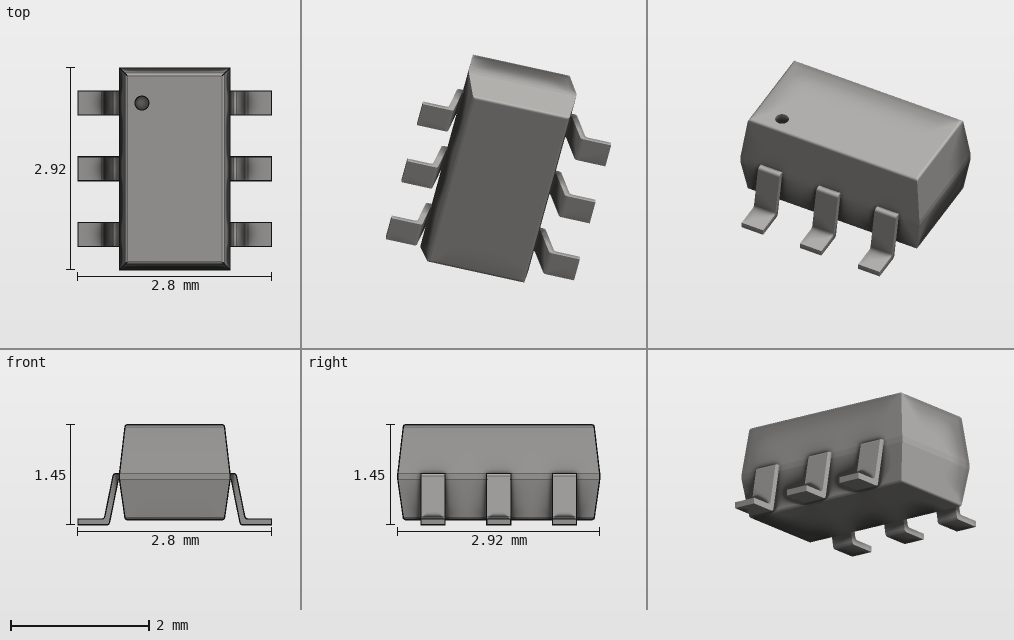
import cadquery as cq
import math

span_x = 2.8
height = 1.45
standoff = 0.075

lead_thickness = 0.088
lead_width = 0.35
lead_pitch = 0.95
leads_per_side = 3
lead_top_z = 0.742
lead_bottom_z = lead_top_z - lead_thickness
leg_tilt = math.radians(11.5)
bend_radius = 0.045
leg_inner_top_x = -0.815

body_x = 1.6
body_y = 2.92
side_inset = 0.083
edge_radius = 0.04

dimple_diameter = 0.2
dimple_depth = 0.2
dimple_x = -0.475
dimple_y = lead_pitch


def tapered_half(band_z, end_z):
    """Frustum from the full-size edge of the band to the smaller end face."""
    rise = end_z - band_z
    draft = math.degrees(math.atan(side_inset / abs(rise)))
    return (
        cq.Workplane("XY", origin=(0, 0, band_z))
        .rect(body_x, body_y)
        .extrude(rise, taper=draft)
    )


def make_housing():
    """Straight band level with the lead shoulders, with a tapered half above and below."""
    band = (
        cq.Workplane("XY", origin=(0, 0, lead_bottom_z))
        .rect(body_x, body_y)
        .extrude(lead_thickness)
    )
    upper_half = tapered_half(lead_top_z, height)
    lower_half = tapered_half(lead_bottom_z, standoff)
    shell = band.union(upper_half).union(lower_half)
    shell = shell.faces("<Z or >Z").edges().fillet(edge_radius)
    dimple = (
        cq.Workplane("XY", origin=(dimple_x, dimple_y, height - dimple_depth))
        .circle(dimple_diameter / 2)
        .extrude(dimple_depth)
    )
    return shell.cut(dimple)


def make_lead():
    """Gull-wing lead on the -X side, centred on Y = 0, butting against the band."""
    tip_x = -span_x / 2
    shoulder_x = -body_x / 2
    slope = math.tan(leg_tilt)
    leg_width_x = lead_thickness / math.cos(leg_tilt)

    def inner_x(z):
        return leg_inner_top_x - (lead_bottom_z - z) * slope

    def outer_x(z):
        return inner_x(z) - leg_width_x

    profile = [
        (tip_x, 0),
        (inner_x(0), 0),
        (inner_x(lead_bottom_z), lead_bottom_z),
        (shoulder_x, lead_bottom_z),
        (shoulder_x, lead_top_z),
        (outer_x(lead_top_z), lead_top_z),
        (outer_x(lead_thickness), lead_thickness),
        (tip_x, lead_thickness),
    ]
    lead = cq.Workplane("XZ").polyline(profile).close().extrude(lead_width / 2, both=True)

    rounded_corners = [
        (inner_x(0), 0),
        (outer_x(lead_top_z), lead_top_z),
        (outer_x(lead_thickness), lead_thickness),
    ]
    for x, z in rounded_corners:
        corner = cq.selectors.NearestToPointSelector((x, 0, z))
        lead = lead.edges("|Y").edges(corner).fillet(bend_radius)
    return lead


housing = make_housing()

lead = make_lead()
leads = []
for row in range(leads_per_side):
    row_y = (row - (leads_per_side - 1) / 2) * lead_pitch
    left_lead = lead.translate((0, row_y, 0))
    right_lead = lead.rotate((0, 0, 0), (0, 0, 1), 180).translate((0, row_y, 0))
    leads.append(left_lead.val())
    leads.append(right_lead.val())

result = cq.Compound.makeCompound([housing.val(), *leads])